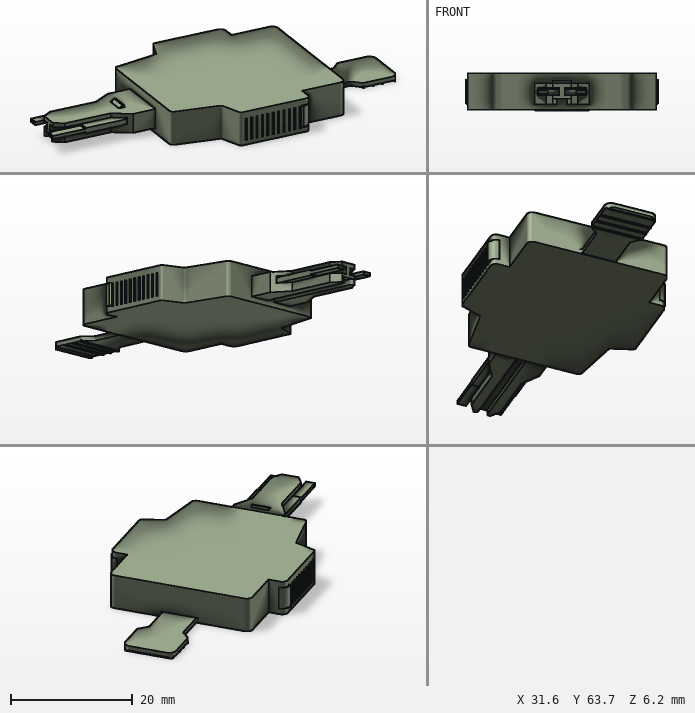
import cadquery as cq
import math

BODY_TOP = 3.1
BODY_HEIGHT = 6.0
BODY_BOTTOM = BODY_TOP - BODY_HEIGHT
BODY_BACK = 17.95
BODY_FRONT = -13.1
BACK_HALF = 12.5
SHOULDER_HALF = 15.5
SHOULDER_BACK = 9.9
SHOULDER_FRONT = -3.1
FRONT_HALF = 10.0
FLANK_ANGLE = 20.0
NOSE_ANGLE = 10.0
OUTER_RADIUS = 1.0
NOSE_RADIUS = 0.75
FLANK_RADIUS = 0.5

GRIP_COUNT = 11
GRIP_PITCH = 1.0
GRIP_FIRST_Y = 7.9
GRIP_WIDTH = 0.25
GRIP_PROUD = 0.15
GRIP_TOP = 1.85
GRIP_BOTTOM = -2.0
NOSE_RIB_HALF = 15.805
NOSE_RIB_CREST_Y = 8.45
NOSE_RIB_RADIUS = 1.5
NOSE_RIB_FOOT = 0.35
NOSE_RIB_TOP = 2.0
NOSE_RIB_BOTTOM = -1.85

TAB_END = 31.85
TAB_TOP = -2.0
TAB_THICKNESS = 0.8
TAB_BOTTOM = TAB_TOP - TAB_THICKNESS
TAB_HALF = 4.5
NECK_HALF = 3.0
HEAD_LENGTH = 6.5
TAB_CORNER_RADIUS = 1.2
NECK_RADIUS = 0.5
ROOT_RADIUS = 0.3
LIP_DEPTH = 0.3
LIP_LENGTH = 0.7
LIP_CREST_LENGTH = 0.3
TAB_RIB_DEPTH = 0.15
TAB_RIB_WIDTH = 0.3
TAB_RIB_COUNT = 3
TAB_RIB_PITCH = 1.73
TAB_RIB_FIRST_Y = 29.0

PLUG_TOP = 1.45
PLUG_BOTTOM = -2.0
PLUG_HALF = 4.5
SHANK_HALF = 2.6
TIP_HALF = 1.5
PLUG_TAPER_START = -17.2
PLUG_TAPER_END = -20.4
TIP_TAPER_START = -28.9
PLUG_TIP = -30.6
WEB_HALF = 0.45
SLOT_TOP = 0.7
SLOT_BOTTOM = -0.5
SLOT_BACK = -18.1
GROOVE_HALF = 0.85
GROOVE_ROOF = -1.05
GROOVE_MOUTH_RADIUS = 0.4

WEDGE_HALF = 1.5
WEDGE_TOP = 1.85
WEDGE_BACK = -17.2
WEDGE_CREST_BACK = -17.35
WEDGE_CREST_FRONT = -17.6
WEDGE_FRONT = -18.3

BLADE_OUTER = 3.9
BLADE_INNER = 2.35
BLADE_END = -31.85
BLADE_STEP = -25.7
BLADE_THROAT = -22.7
ROOT_HALF_THICKNESS = 0.45
PRONG_HALF_THICKNESS = 0.3
BLADE_STEP_BEVEL = ROOT_HALF_THICKNESS - PRONG_HALF_THICKNESS
PRONG_END_BEVEL = 0.1

CUT_MARGIN = 1.0


def prism(points, bottom, top):
    """Extrude a closed XY outline between two heights."""
    return cq.Workplane("XY").workplane(offset=bottom).polyline(points).close().extrude(top - bottom)


def mirrored(half_outline):
    """Complete a +X half outline, given from back to front, about X = 0."""
    return half_outline + [(-x, y) for x, y in reversed(half_outline)]


def round_edges(solid, corners, radius):
    """Fillet the vertical edges standing at the given +X corners and their mirror images."""
    for x, y in corners:
        for side in (1, -1):
            edge = cq.selectors.NearestToPointSelector((side * x, y, solid.val().Center().z))
            solid = solid.edges("|Z").edges(edge).fillet(radius)
    return solid


def both_sides(solid):
    return solid.union(solid.mirror("YZ"))


def make_housing():
    flank_slope = math.tan(math.radians(FLANK_ANGLE))
    nose_slope = math.tan(math.radians(NOSE_ANGLE))
    flank_reach = SHOULDER_HALF - FRONT_HALF - nose_slope * (SHOULDER_FRONT - BODY_FRONT)
    waist_x = SHOULDER_HALF - flank_reach / (1 - flank_slope * nose_slope)
    waist_y = SHOULDER_FRONT - flank_slope * (SHOULDER_HALF - waist_x)
    half = [
        (BACK_HALF, BODY_BACK),
        (BACK_HALF, SHOULDER_BACK),
        (SHOULDER_HALF, SHOULDER_BACK),
        (SHOULDER_HALF, SHOULDER_FRONT),
        (waist_x, waist_y),
        (FRONT_HALF, BODY_FRONT),
    ]
    body = prism(mirrored(half), BODY_BOTTOM, BODY_TOP)
    body = round_edges(body, [half[0], half[2]], OUTER_RADIUS)
    body = round_edges(body, [half[3], half[4]], FLANK_RADIUS)
    return round_edges(body, [half[5]], NOSE_RADIUS)


def make_grip_ribs():
    inner = SHOULDER_HALF - CUT_MARGIN
    outer = SHOULDER_HALF + GRIP_PROUD
    crest_center_x = NOSE_RIB_HALF - NOSE_RIB_RADIUS
    diagonal = NOSE_RIB_RADIUS * math.sqrt(0.5)
    ribs = (
        cq.Workplane("XY")
        .workplane(offset=NOSE_RIB_BOTTOM)
        .moveTo(crest_center_x, NOSE_RIB_CREST_Y + NOSE_RIB_RADIUS)
        .threePointArc(
            (crest_center_x + diagonal, NOSE_RIB_CREST_Y + diagonal),
            (NOSE_RIB_HALF, NOSE_RIB_CREST_Y),
        )
        .lineTo(SHOULDER_HALF, NOSE_RIB_CREST_Y - NOSE_RIB_FOOT)
        .lineTo(crest_center_x, NOSE_RIB_CREST_Y - NOSE_RIB_FOOT)
        .close()
        .extrude(NOSE_RIB_TOP - NOSE_RIB_BOTTOM)
    )
    for index in range(GRIP_COUNT):
        back = GRIP_FIRST_Y - index * GRIP_PITCH + GRIP_WIDTH / 2
        front = back - GRIP_WIDTH
        outline = [(inner, back), (outer, back), (outer, front), (inner, front)]
        ribs = ribs.union(prism(outline, GRIP_BOTTOM, GRIP_TOP))
    return both_sides(ribs)


def tab_plate(bottom, top):
    head_front = TAB_END - HEAD_LENGTH
    neck_back = head_front - (TAB_HALF - NECK_HALF)
    half = [
        (TAB_HALF, TAB_END),
        (TAB_HALF, head_front),
        (NECK_HALF, neck_back),
        (NECK_HALF, BODY_BACK - CUT_MARGIN),
    ]
    plate = prism(mirrored(half), bottom, top)
    plate = round_edges(plate, [half[0]], TAB_CORNER_RADIUS)
    return round_edges(plate, [half[1], half[2]], NECK_RADIUS)


def make_root_fillet():
    center = (NECK_HALF + ROOT_RADIUS, BODY_BACK + ROOT_RADIUS)
    corner = cq.Workplane("XY").workplane(offset=TAB_BOTTOM).rect(
        ROOT_RADIUS, ROOT_RADIUS, centered=False).extrude(TAB_THICKNESS)
    corner = corner.translate((NECK_HALF, BODY_BACK, 0))
    cutter = cq.Workplane("XY").workplane(offset=TAB_BOTTOM).center(*center).circle(
        ROOT_RADIUS).extrude(TAB_THICKNESS)
    return both_sides(corner.cut(cutter))


def make_tab():
    lip_bottom = TAB_BOTTOM - LIP_DEPTH
    lip_front = TAB_END - LIP_LENGTH
    lip_flank = (LIP_LENGTH - LIP_CREST_LENGTH) / 2
    lip = (
        cq.Workplane("YZ")
        .polyline([
            (TAB_END, TAB_TOP),
            (TAB_END, TAB_BOTTOM),
            (TAB_END - lip_flank, lip_bottom),
            (lip_front + lip_flank, lip_bottom),
            (lip_front, TAB_BOTTOM),
            (lip_front, TAB_TOP),
        ])
        .close()
        .extrude(TAB_HALF, both=True)
        .intersect(tab_plate(lip_bottom, TAB_TOP))
    )
    tab = tab_plate(TAB_BOTTOM, TAB_TOP).union(lip).union(make_root_fillet())
    for index in range(TAB_RIB_COUNT):
        rib_y = TAB_RIB_FIRST_Y - index * TAB_RIB_PITCH
        rib = cq.Workplane("XY").box(2 * TAB_HALF, TAB_RIB_WIDTH, 2 * TAB_RIB_DEPTH)
        tab = tab.union(rib.translate((0, rib_y, TAB_BOTTOM)))
    return tab


def make_side_slots():
    outer = PLUG_HALF + CUT_MARGIN
    front = PLUG_TIP - CUT_MARGIN
    outline = [(WEB_HALF, SLOT_BACK), (outer, SLOT_BACK), (outer, front), (WEB_HALF, front)]
    return both_sides(prism(outline, SLOT_BOTTOM, SLOT_TOP))


def make_groove():
    """Underside groove whose mouth at the tip flares out on quarter rounds."""
    r = GROOVE_MOUTH_RADIUS
    diagonal = r * (1 - math.sqrt(0.5))
    return both_sides(
        cq.Workplane("XY")
        .workplane(offset=PLUG_BOTTOM)
        .moveTo(0, BODY_FRONT)
        .lineTo(GROOVE_HALF, BODY_FRONT)
        .lineTo(GROOVE_HALF, PLUG_TIP + r)
        .threePointArc((GROOVE_HALF + diagonal, PLUG_TIP + diagonal), (GROOVE_HALF + r, PLUG_TIP))
        .lineTo(0, PLUG_TIP)
        .close()
        .extrude(GROOVE_ROOF - PLUG_BOTTOM)
    )


def make_latch_wedge():
    profile = [
        (WEDGE_BACK, PLUG_TOP),
        (WEDGE_CREST_BACK, WEDGE_TOP),
        (WEDGE_CREST_FRONT, WEDGE_TOP),
        (WEDGE_FRONT, PLUG_TOP),
    ]
    return cq.Workplane("YZ").polyline(profile).close().extrude(WEDGE_HALF, both=True)


def make_plug():
    half = [
        (PLUG_HALF, BODY_FRONT),
        (PLUG_HALF, PLUG_TAPER_START),
        (SHANK_HALF, PLUG_TAPER_END),
        (SHANK_HALF, TIP_TAPER_START),
        (TIP_HALF, PLUG_TIP),
    ]
    plug = prism(mirrored(half), PLUG_BOTTOM, PLUG_TOP)
    return plug.cut(make_side_slots()).cut(make_groove()).union(make_latch_wedge())


def make_blades():
    """Forked contact blades: side profile with a thin prong, trimmed to the plan outline."""
    profile_top = [
        (SLOT_BACK, ROOT_HALF_THICKNESS),
        (BLADE_STEP, ROOT_HALF_THICKNESS),
        (BLADE_STEP - BLADE_STEP_BEVEL, PRONG_HALF_THICKNESS),
        (BLADE_END + PRONG_END_BEVEL, PRONG_HALF_THICKNESS),
        (BLADE_END, PRONG_HALF_THICKNESS - PRONG_END_BEVEL),
    ]
    profile_bottom = [(BLADE_END, PRONG_END_BEVEL - PRONG_HALF_THICKNESS)]
    profile_bottom += [(y, -z) for y, z in reversed(profile_top[2:4])]
    profile_bottom += [(BLADE_STEP, SLOT_BOTTOM), (SLOT_BACK, SLOT_BOTTOM)]
    profile = cq.Workplane("YZ").polyline(profile_top + profile_bottom).close().extrude(BLADE_OUTER)
    plan = [
        (WEB_HALF, SLOT_BACK),
        (BLADE_OUTER, SLOT_BACK),
        (BLADE_OUTER, BLADE_END),
        (BLADE_INNER, BLADE_END),
        (BLADE_INNER, BLADE_STEP),
        (WEB_HALF, BLADE_THROAT),
    ]
    return both_sides(prism(plan, SLOT_BOTTOM, SLOT_TOP).intersect(profile))


result = (
    make_housing()
    .union(make_grip_ribs())
    .union(make_tab())
    .union(make_plug())
    .union(make_blades())
)